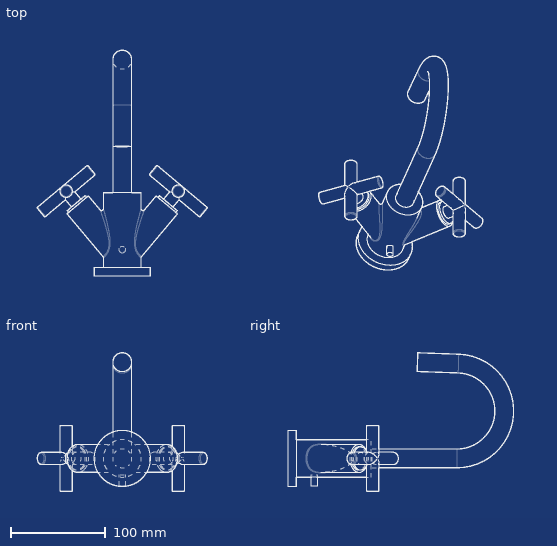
import cadquery as cq
import math


FLANGE_DIAMETER = 59.5
FLANGE_THICKNESS = 9.0
COLUMN_DIAMETER = 39.8
COLUMN_END_Y = 88.0

BRANCH_DIAMETER = 29.5
BRANCH_ANGLE = 40.0
BRANCH_ORIGIN_Y = 19.0
BRANCH_LENGTH = 73.2
BRANCH_FILLET = 2.0

COLLAR_DIAMETER = 24.8
COLLAR_THICKNESS = 2.5
BAR_DIAMETER = 13.1
BAR_LENGTH = 70.0
BAR_EDGE_FILLET = 1.0
HANDLE_DISTANCE = 92.0

SPOUT_DIAMETER = 20.0
SPOUT_BEND_RADIUS = 50.0
SPOUT_FAR_Y = 238.5
SPOUT_OUTLET_LENGTH = 43.5
SPOUT_OUTLET_TILT = 2.0

ROD_DIAMETER = 7.0
ROD_Y = 28.0
ROD_BOTTOM_Z = -29.3
ROD_RECESS_DEPTH = 2.5

UP = cq.Vector(0, 0, 1)
ALONG_COLUMN = cq.Vector(0, 1, 0)
SIDES = (-1, 1)


def cylinder(diameter, length, start, direction):
    """Solid cylinder running from a start point along a direction."""
    return cq.Workplane(cq.Solid.makeCylinder(diameter / 2, length, start, direction))


def branch_direction(side):
    """Unit vector along a branch; side is -1 for the -X branch and +1 for the +X branch."""
    angle = math.radians(BRANCH_ANGLE)
    return cq.Vector(side * math.sin(angle), math.cos(angle), 0)


def branch_point(side, distance):
    """Point on a branch axis at a distance from the column axis."""
    return cq.Vector(0, BRANCH_ORIGIN_Y, 0) + branch_direction(side) * distance


def make_flange():
    """Round plate at the foot of the column."""
    return cylinder(FLANGE_DIAMETER, FLANGE_THICKNESS, cq.Vector(0, 0, 0), ALONG_COLUMN)


def make_rod():
    """Vertical rod that starts in a shallow recess in the underside of the column."""
    top_z = -COLUMN_DIAMETER / 2 + ROD_RECESS_DEPTH
    return cylinder(ROD_DIAMETER, top_z - ROD_BOTTOM_Z, cq.Vector(0, ROD_Y, ROD_BOTTOM_Z), UP)


def make_column(rod):
    """Column with both branches, filleted where they meet it, and the rod recess."""
    start = cq.Vector(0, FLANGE_THICKNESS, 0)
    column = cylinder(COLUMN_DIAMETER, COLUMN_END_Y - FLANGE_THICKNESS, start, ALONG_COLUMN)
    for side in SIDES:
        branch = cylinder(BRANCH_DIAMETER, BRANCH_LENGTH, branch_point(side, 0), branch_direction(side))
        column = column.union(branch)
    junctions = [edge for edge in column.edges().vals() if edge.geomType() not in ("CIRCLE", "LINE")]
    column = column.newObject(junctions).fillet(BRANCH_FILLET)
    return column.cut(rod).solids()


def make_spout():
    """Tube that leaves the column along +Y, bends over and returns with a slightly rising outlet."""
    bend_y = SPOUT_FAR_Y - SPOUT_BEND_RADIUS - SPOUT_DIAMETER / 2
    tilt = math.radians(SPOUT_OUTLET_TILT)

    def bend_point(angle):
        """Point (Y, Z) on the bend; the angle is measured from +Y towards +Z."""
        return (
            bend_y + SPOUT_BEND_RADIUS * math.cos(angle),
            SPOUT_BEND_RADIUS + SPOUT_BEND_RADIUS * math.sin(angle),
        )

    bend_end = bend_point(math.pi / 2 - tilt)
    outlet = (
        bend_end[0] - SPOUT_OUTLET_LENGTH * math.cos(tilt),
        bend_end[1] + SPOUT_OUTLET_LENGTH * math.sin(tilt),
    )
    centreline = (
        cq.Workplane("YZ")
        .moveTo(COLUMN_END_Y, 0)
        .lineTo(bend_y, 0)
        .threePointArc(bend_point(0), bend_end)
        .lineTo(*outlet)
    )
    section = cq.Workplane("XZ", origin=(0, COLUMN_END_Y, 0)).circle(SPOUT_DIAMETER / 2)
    return section.sweep(centreline)


def make_collar(side):
    """Disc on the end face of a branch."""
    return cylinder(
        COLLAR_DIAMETER, COLLAR_THICKNESS, branch_point(side, BRANCH_LENGTH), branch_direction(side)
    )


def make_handle(side):
    """Cross of two round-edged bars on a stem of the same diameter."""
    centre = branch_point(side, HANDLE_DISTANCE)
    stem_start = BRANCH_LENGTH + COLLAR_THICKNESS
    handle = cylinder(
        BAR_DIAMETER, HANDLE_DISTANCE - stem_start, branch_point(side, stem_start), branch_direction(side)
    )
    for bar_axis in (UP, branch_direction(side).cross(UP)):
        bar = cylinder(BAR_DIAMETER, BAR_LENGTH, centre - bar_axis * (BAR_LENGTH / 2), bar_axis)
        handle = handle.union(bar.edges("%CIRCLE").fillet(BAR_EDGE_FILLET))
    return handle.solids()


flange = make_flange()
rod = make_rod()
column = make_column(rod)
spout = make_spout()
collars = [make_collar(side).val() for side in SIDES]
handles = [make_handle(side).val() for side in SIDES]

result = cq.Compound.makeCompound(
    [flange.val(), rod.val(), column.val(), spout.val(), *collars, *handles]
)